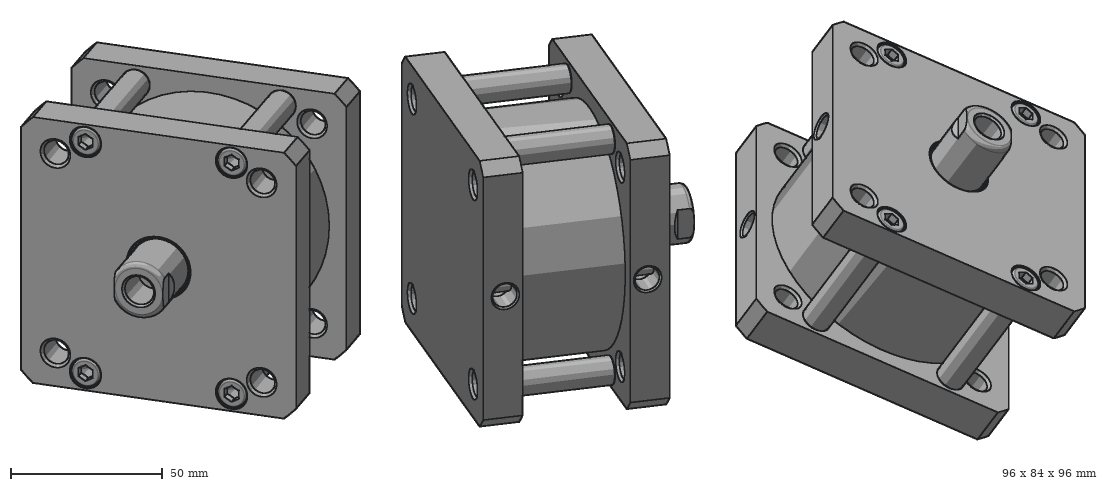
import cadquery as cq
import math


DRILL_POINT_ANGLE = 118.0

PLATE_SIDE = 96.0
PLATE_THICKNESS = 13.5
CORNER_CIRCLE_DIAMETER = 130.0

BARREL_DIAMETER = 84.0
BARREL_LENGTH = 37.0

MOUNT_PITCH = 72.0
MOUNT_HOLE_DIAMETER = 8.5
MOUNT_CHAMFER_DIAMETER = 10.5

PORT_FROM_BARREL = 6.0
PORT_DIAMETER = 8.4
PORT_MOUTH_DIAMETER = 9.6
PORT_DEPTH = 9.6
PORT_BAR_DIAMETER = 5.0

TIE_PITCH_X = 51.0
TIE_PITCH_Z = 83.4
TIE_DIAMETER = 10.0
TIE_END_CHAMFER = 0.3
SHANK_DIAMETER = 6.0
HEAD_HEIGHT = 6.0
HEAD_FILLET = 0.7
COUNTERBORE_DIAMETER = 10.5
COUNTERBORE_MOUTH_DIAMETER = 11.0
HEX_ACROSS_FLATS = 5.0
HEX_HALF_ANGLE = 30.0
SOCKET_CONE_START = 1.4

ROD_DIAMETER = 20.0
ROD_PROJECTION = 20.0
ROD_END_FILLET = 1.7
FLAT_WIDTH = 17.0
FLAT_LENGTH = 5.8
ROD_HOLE_DIAMETER = 10.1
ROD_HOLE_MOUTH_DIAMETER = 11.6
ROD_HOLE_DEPTH = 14.4
ROD_HOLE_POINT_ANGLE = 169.0

ROD_RECESS_DIAMETER = 21.9
ROD_RECESS_MOUTH_DIAMETER = 22.5
ROD_RECESS_DEPTH = 1.0
WIPER_LIP_DIAMETER = 20.6
WIPER_LIP_HEIGHT = 0.3

BARREL_FRONT = -BARREL_LENGTH / 2
BARREL_REAR = BARREL_LENGTH / 2
FRONT_FACE = BARREL_FRONT - PLATE_THICKNESS
ROD_TIP = FRONT_FACE - ROD_PROJECTION


def corner_points(pitch_x, pitch_z):
    """The four (x, z) corners of a rectangle centred on the Y axis."""
    return [(side_x * pitch_x / 2, side_z * pitch_z / 2) for side_x in (-1, 1) for side_z in (-1, 1)]


MOUNT_POINTS = corner_points(MOUNT_PITCH, MOUNT_PITCH)
TIE_POINTS = corner_points(TIE_PITCH_X, TIE_PITCH_Z)


def turned(radius_y_points):
    """Revolve a closed profile of (radius, y) points about the Y axis."""
    return cq.Workplane("XY").polyline(radius_y_points).close().revolve(360, (0, 0), (0, 1))


def cylinder_y(diameter, y_start, y_end):
    """Cylinder on the Y axis between two Y positions."""
    return cq.Workplane("XZ", origin=(0, y_start, 0)).circle(diameter / 2).extrude(y_start - y_end)


def pointed_pin(diameter, depth, point_angle=DRILL_POINT_ANGLE):
    """Drill-shaped cutter that starts at Y = 0 and runs toward +Y to a conical point."""
    radius = diameter / 2
    point_length = radius / math.tan(math.radians(point_angle / 2))
    return turned([(0, 0), (radius, 0), (radius, depth), (0, depth + point_length)])


def blind_hole(diameter, mouth_diameter, depth, point_angle=DRILL_POINT_ANGLE):
    """Cutter for a drilled hole with a 45 degree countersunk mouth at Y = 0."""
    mouth_radius = mouth_diameter / 2
    mouth = turned([(0, 0), (mouth_radius, 0), (0, mouth_radius)])
    return pointed_pin(diameter, depth, point_angle).union(mouth)


def chamfered_through_hole(y_start):
    """Cutter for a mounting hole with a chamfer on both faces of a plate."""
    radius = MOUNT_HOLE_DIAMETER / 2
    mouth_radius = MOUNT_CHAMFER_DIAMETER / 2
    chamfer = mouth_radius - radius
    y_end = y_start + PLATE_THICKNESS
    return turned([
        (0, y_start),
        (mouth_radius, y_start),
        (radius, y_start + chamfer),
        (radius, y_end - chamfer),
        (mouth_radius, y_end),
        (0, y_end),
    ])


def make_plate(y_start, port_y):
    """Square plate with turned corners, four mounting holes and a side port with a bar across its floor."""
    plate = cq.Workplane("XY").box(PLATE_SIDE, PLATE_THICKNESS, PLATE_SIDE)
    plate = plate.translate((0, y_start + PLATE_THICKNESS / 2, 0))
    plate = plate.intersect(cylinder_y(CORNER_CIRCLE_DIAMETER, y_start, y_start + PLATE_THICKNESS))
    for x, z in MOUNT_POINTS:
        plate = plate.cut(chamfered_through_hole(y_start).translate((x, 0, z)))
    port = blind_hole(PORT_DIAMETER, PORT_MOUTH_DIAMETER, PORT_DEPTH)
    port = port.rotate((0, 0, 0), (0, 0, 1), -90)
    plate = plate.cut(port.translate((-PLATE_SIDE / 2, port_y, 0)))
    bar = cylinder_y(PORT_BAR_DIAMETER, port_y - PORT_DIAMETER / 2, port_y + PORT_DIAMETER / 2)
    return plate.union(bar.translate((PORT_DEPTH - PLATE_SIDE / 2, 0, 0)))


def make_front_plate():
    """Plate with counterbored tie-bolt holes and a wiper recess around the rod."""
    plate = make_plate(FRONT_FACE, BARREL_FRONT - PORT_FROM_BARREL)
    bore_radius = COUNTERBORE_DIAMETER / 2
    mouth_radius = COUNTERBORE_MOUTH_DIAMETER / 2
    tie_hole = turned([
        (0, FRONT_FACE),
        (mouth_radius, FRONT_FACE),
        (bore_radius, FRONT_FACE + mouth_radius - bore_radius),
        (bore_radius, FRONT_FACE + HEAD_HEIGHT),
        (SHANK_DIAMETER / 2, FRONT_FACE + HEAD_HEIGHT),
        (SHANK_DIAMETER / 2, BARREL_FRONT),
        (0, BARREL_FRONT),
    ])
    for x, z in TIE_POINTS:
        plate = plate.cut(tie_hole.translate((x, 0, z)))

    recess_radius = ROD_RECESS_DIAMETER / 2
    recess_floor = FRONT_FACE + ROD_RECESS_DEPTH
    recess_mouth_radius = ROD_RECESS_MOUTH_DIAMETER / 2
    rod_opening = turned([
        (0, FRONT_FACE),
        (recess_mouth_radius, FRONT_FACE),
        (recess_radius, FRONT_FACE + recess_mouth_radius - recess_radius),
        (recess_radius, recess_floor),
        (WIPER_LIP_DIAMETER / 2, recess_floor - WIPER_LIP_HEIGHT),
        (ROD_DIAMETER / 2, recess_floor),
        (ROD_DIAMETER / 2, BARREL_FRONT),
        (0, BARREL_FRONT),
    ])
    return plate.cut(rod_opening)


def make_rear_plate():
    return make_plate(BARREL_REAR, BARREL_REAR + PORT_FROM_BARREL)


def make_barrel():
    return cylinder_y(BARREL_DIAMETER, BARREL_FRONT, BARREL_REAR)


def make_tie_bolt(x, z):
    """Socket head in the front plate, a thin shank, and a thick length between the plates."""
    head = cylinder_y(TIE_DIAMETER, FRONT_FACE, FRONT_FACE + HEAD_HEIGHT)
    head = head.faces("<Y").edges().fillet(HEAD_FILLET)
    shank = cylinder_y(SHANK_DIAMETER, FRONT_FACE + HEAD_HEIGHT, BARREL_FRONT)
    spacer = cylinder_y(TIE_DIAMETER, BARREL_FRONT, BARREL_REAR)
    spacer = spacer.faces("<Y or >Y").edges().chamfer(TIE_END_CHAMFER)

    hex_corner_diameter = HEX_ACROSS_FLATS / math.cos(math.radians(HEX_HALF_ANGLE))
    hex_prism = cq.Workplane("XZ").polygon(6, hex_corner_diameter).extrude(-HEAD_HEIGHT)
    hex_prism = hex_prism.rotate((0, 0, 0), (0, 1, 0), HEX_HALF_ANGLE)
    socket = hex_prism.intersect(pointed_pin(TIE_DIAMETER, SOCKET_CONE_START))

    bolt = head.union(shank).union(spacer).cut(socket.translate((0, FRONT_FACE, 0)))
    return bolt.translate((x, 0, z))


def make_rod():
    """Rod with a rounded tip, two wrench flats and a drilled hole in its end."""
    rod = cylinder_y(ROD_DIAMETER, ROD_TIP, BARREL_FRONT)
    rod = rod.faces("<Y").edges().fillet(ROD_END_FILLET)

    flat_x = FLAT_WIDTH / 2
    flat_end = ROD_TIP + FLAT_LENGTH
    flat_depth = ROD_DIAMETER / 2 - flat_x
    flat_cutter = (
        cq.Workplane("XY")
        .polyline([
            (flat_x, ROD_TIP),
            (flat_x, flat_end),
            (flat_x + flat_depth, flat_end + flat_depth),
            (flat_x + flat_depth, ROD_TIP),
        ])
        .close()
        .extrude(ROD_DIAMETER / 2, both=True)
    )
    rod = rod.cut(flat_cutter).cut(flat_cutter.mirror("YZ"))
    hole = blind_hole(ROD_HOLE_DIAMETER, ROD_HOLE_MOUTH_DIAMETER, ROD_HOLE_DEPTH, ROD_HOLE_POINT_ANGLE)
    return rod.cut(hole.translate((0, ROD_TIP, 0)))


front_plate = make_front_plate()
rear_plate = make_rear_plate()
barrel = make_barrel()
rod = make_rod()
tie_bolts = [make_tie_bolt(x, z).val() for x, z in TIE_POINTS]

result = cq.Compound.makeCompound([
    front_plate.val(),
    rear_plate.val(),
    barrel.val(),
    rod.val(),
    *tie_bolts,
])